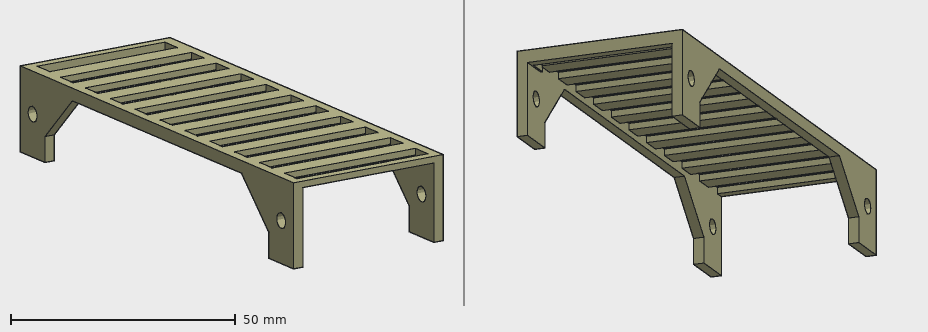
import cadquery as cq

length = 110.0
width = 40.0
height = 20.0

plate_thickness = 1.5
wall_thickness = 2.5
rim_height = 3.0

foot_length = 10.0
foot_height = 6.0
brace_length = 11.0

hole_diameter = 3.5
hole_inset = foot_length / 2
hole_height = height / 2

slot_count = 11
slot_pitch = 10.0
slot_width = 5.1
slot_length = width - 2 * wall_thickness
first_slot_length = 34.1
first_slot_x = -slot_pitch * (slot_count - 1) / 2

end_rim_length = length / 2 + first_slot_x + slot_width / 2


def make_channel():
    """Plate with a wall along each long edge and a thicker -X end."""
    block = cq.Workplane("XY").box(length, width, height, centered=(True, True, False))
    inside_width = width - 2 * wall_thickness
    inside = cq.Workplane("XY").box(
        length,
        inside_width,
        height - plate_thickness,
        centered=(True, True, False),
    )
    end_rim = (
        cq.Workplane("XY")
        .box(end_rim_length, inside_width, rim_height, centered=(False, True, False))
        .translate((-length / 2, 0, height - rim_height))
    )
    return block.cut(inside).union(end_rim)


def make_leg_opening():
    """Opening between the legs, with a sloping brace at each end."""
    half_bottom = length / 2 - foot_length
    half_top = half_bottom - brace_length
    top = height - rim_height
    return (
        cq.Workplane("XZ")
        .polyline([
            (-half_bottom, 0),
            (-half_bottom, foot_height),
            (-half_top, top),
            (half_top, top),
            (half_bottom, foot_height),
            (half_bottom, 0),
        ])
        .close()
        .extrude(width / 2, both=True)
    )


def make_screw_holes():
    hole_x = length / 2 - hole_inset
    return (
        cq.Workplane("XZ")
        .pushPoints([(-hole_x, hole_height), (hole_x, hole_height)])
        .circle(hole_diameter / 2)
        .extrude(width / 2, both=True)
    )


def make_slots():
    """Evenly spaced slots; the one at the -X end is slightly shorter."""
    slots = cq.Workplane("XY")
    for index in range(slot_count):
        slot_x = first_slot_x + index * slot_pitch
        long_side = first_slot_length if index == 0 else slot_length
        slots = slots.union(
            cq.Workplane("XY")
            .center(slot_x, 0)
            .rect(slot_width, long_side)
            .extrude(height)
        )
    return slots


result = (
    make_channel()
    .cut(make_leg_opening())
    .cut(make_screw_holes())
    .cut(make_slots())
)